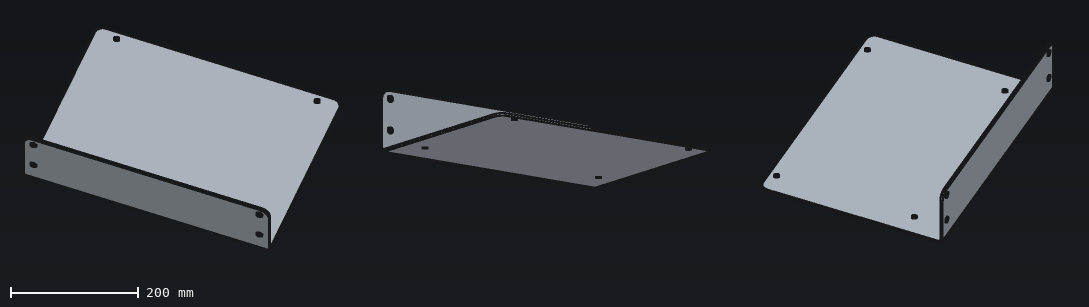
import cadquery as cq

width = 412.8
depth = 317.5
height = 101.5
thickness = 4.0
bend_inner_radius = 3.0
bend_outer_radius = bend_inner_radius + thickness
corner_radius = 15.0

base_hole_diameter = 8.0
base_hole_spacing_x = 337.5
base_hole_spacing_y = 237.7
base_hole_back_margin = 13.2

flange_hole_diameter = 9.5
flange_hole_spacing_x = 380.0
flange_hole_spacing_z = 50.8
flange_hole_top_margin = 13.2

front = -depth / 2
back = depth / 2


def bent_sheet():
    """L-shaped sheet, centred in X and Y, with its underside at Z = 0."""
    profile = (
        cq.Workplane("YZ")
        .moveTo(back, 0)
        .lineTo(front, 0)
        .lineTo(front, height)
        .lineTo(front + thickness, height)
        .lineTo(front + thickness, thickness)
        .lineTo(back, thickness)
        .close()
    )
    sheet = profile.extrude(width / 2, both=True)
    inner_edge = cq.selectors.NearestToPointSelector((0, front + thickness, thickness))
    outer_edge = cq.selectors.NearestToPointSelector((0, front, 0))
    sheet = sheet.edges("|X").edges(inner_edge).fillet(bend_inner_radius)
    return sheet.edges("|X").edges(outer_edge).fillet(bend_outer_radius)


def round_free_corners(sheet):
    """Round the back corners of the base and the top corners of the flange."""
    sheet = sheet.faces(">Y").edges("|Z").fillet(corner_radius)
    return sheet.faces(">Z").edges("|Y").fillet(corner_radius)


def base_holes():
    centre_y = back - base_hole_back_margin - base_hole_spacing_y / 2
    return (
        cq.Workplane("XY")
        .center(0, centre_y)
        .rect(base_hole_spacing_x, base_hole_spacing_y, forConstruction=True)
        .vertices()
        .circle(base_hole_diameter / 2)
        .extrude(thickness)
    )


def flange_holes():
    centre_z = height - flange_hole_top_margin - flange_hole_spacing_z / 2
    return (
        cq.Workplane("XZ", origin=(0, front, 0))
        .center(0, centre_z)
        .rect(flange_hole_spacing_x, flange_hole_spacing_z, forConstruction=True)
        .vertices()
        .circle(flange_hole_diameter / 2)
        .extrude(-thickness)
    )


result = round_free_corners(bent_sheet()).cut(base_holes()).cut(flange_holes())